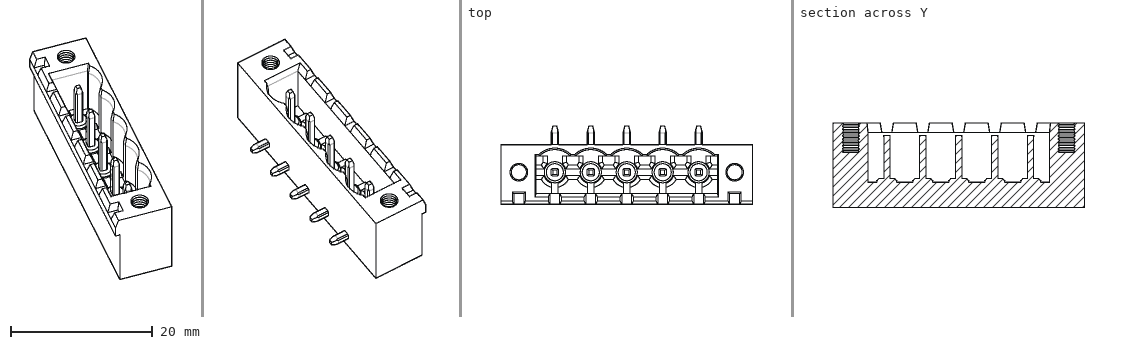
import cadquery as cq


length = 35.55
pole_count = 5
pitch = length / (pole_count + 2)
height = 12.0
half_depth = 3.9
lip_front = -4.55
lip_height = 3.0
bevel_height = 1.35
bevel_run = 0.45

mouth_half_length = 12.95
mouth_back = 2.52
mouth_front = -3.5
shaft_half_length = 12.8
shaft_back = 2.3
shaft_front = -3.0
flare_depth = bevel_height
floor_z = 3.02

scallop_center_y = 0.15
scallop_mouth_radius = 3.27
scallop_radius = 3.05
scallop_start_y = 2.15

platform_height = 0.57
platform_draft = 45.0
platform_half_width = 1.03
platform_disc_radius = 2.17
stem_half_width = 1.65
collar_radius = 1.5
collar_height = 0.55
collar_chamfer = 0.3
web_width = 0.95

notch_floor_width = 1.4
notch_top_width = 1.85
end_notch_back = -3.02
end_notch_top_back = -2.8

thread_radius = 1.25
thread_core_radius = 1.05
thread_pitch = 0.45
thread_turns = 9

pin_width = 1.05
pin_corner_chamfer = 0.18
pin_tip_length = 1.0
pin_tip_width = 0.57
pin_top = height - 1.2
tail_end = 6.55
tail_z = 2.03

platform_z = floor_z + platform_height
flare_z = height - flare_depth
pole_xs = [pitch * (i - (pole_count - 1) / 2) for i in range(pole_count)]
flange_x = pitch * (pole_count + 1) / 2
flange_xs = [-flange_x, flange_x]


def box(x0, x1, y0, y1, z0, z1):
    return cq.Workplane("XY").box(x1 - x0, y1 - y0, z1 - z0, centered=False).translate((x0, y0, z0))


def rectangle_loft(lower, lower_z, upper, upper_z):
    """Solid between two level rectangles, each given as (x0, x1, y0, y1)."""
    def wire(rectangle, z):
        x0, x1, y0, y1 = rectangle
        corners = [(x0, y0), (x1, y0), (x1, y1), (x0, y1)]
        return cq.Wire.makePolygon([cq.Vector(x, y, z) for x, y in corners], close=True)

    return cq.Workplane(cq.Solid.makeLoft([wire(lower, lower_z), wire(upper, upper_z)], True))


def make_housing():
    profile = [
        (-half_depth, 0),
        (half_depth, 0),
        (half_depth, height),
        (lip_front + bevel_run, height),
        (lip_front, height - bevel_height),
        (lip_front, height - lip_height),
        (-half_depth, height - lip_height),
    ]
    return cq.Workplane("YZ").polyline(profile).close().extrude(length / 2, both=True)


def make_scallop(x):
    straight = cq.Workplane("XY").circle(scallop_radius).extrude(flare_z - platform_z)
    flare = cq.Solid.makeCone(
        scallop_radius, scallop_mouth_radius, flare_depth, pnt=cq.Vector(0, 0, flare_z - platform_z)
    )
    scallop = straight.union(cq.Workplane(flare)).translate((x, scallop_center_y, platform_z))
    back_part = box(x - pitch, x + pitch, scallop_start_y, half_depth, 0, height)
    return scallop.intersect(back_part)


def make_platform():
    base = cq.Workplane("XY", origin=(0, 0, floor_z))
    stem_length = 2 * half_depth
    platform = base.rect(length, 2 * platform_half_width).extrude(platform_height, taper=platform_draft)
    for x in pole_xs:
        disc = base.center(x, 0).circle(platform_disc_radius)
        platform = platform.union(disc.extrude(platform_height, taper=platform_draft))
        stem = base.center(x, stem_length / 2).rect(2 * stem_half_width, stem_length)
        platform = platform.union(stem.extrude(platform_height, taper=platform_draft))
        web = box(x - web_width / 2, x + web_width / 2, -half_depth, 0, floor_z, platform_z)
        platform = platform.union(web)
        collar_base = base.workplane(offset=platform_height).center(x, 0)
        collar = collar_base.circle(collar_radius).extrude(collar_height)
        platform = platform.union(collar.faces(">Z").chamfer(collar_chamfer))
    return platform


def make_cavity():
    shaft = (-shaft_half_length, shaft_half_length, shaft_front, shaft_back)
    mouth = (-mouth_half_length, mouth_half_length, mouth_front, mouth_back)
    cavity = box(*shaft, floor_z, flare_z).union(rectangle_loft(shaft, flare_z, mouth, height))
    for x in pole_xs:
        cavity = cavity.union(make_scallop(x))
    return cavity.cut(make_platform())


def make_notch(x, back, top_back):
    half_floor = notch_floor_width / 2
    half_top = notch_top_width / 2
    floor = (x - half_floor, x + half_floor, lip_front, back)
    top = (x - half_top, x + half_top, lip_front, top_back)
    return rectangle_loft(floor, height - bevel_height, top, height)


def make_threaded_hole(x):
    profile = [(0, height), (thread_radius, height)]
    for turn in range(thread_turns):
        root_z = height - turn * thread_pitch
        profile.append((thread_core_radius, root_z - thread_pitch / 2))
        profile.append((thread_radius, root_z - thread_pitch))
    profile.append((0, height - thread_turns * thread_pitch))
    hole = cq.Workplane("XZ").polyline(profile).close().revolve(360, (0, 0, 0), (0, 1, 0))
    return hole.translate((x, 0, 0))


def make_pin_leg(leg_length):
    """Square leg along +Z with chamfered corners and a four-sided pointed tip."""
    shoulder = leg_length - pin_tip_length
    half = pin_width / 2
    half_tip = pin_tip_width / 2
    square = (-half, half, -half, half)
    tip = (-half_tip, half_tip, -half_tip, half_tip)
    pointed = box(*square, 0, shoulder).union(rectangle_loft(square, shoulder, tip, leg_length))
    bar = cq.Workplane("XY").rect(pin_width, pin_width).extrude(leg_length)
    return pointed.intersect(bar.edges("|Z").chamfer(pin_corner_chamfer))


def make_pin(x):
    contact = make_pin_leg(pin_top - tail_z)
    tail = make_pin_leg(tail_end).rotate((0, 0, 0), (1, 0, 0), -90)
    return contact.union(tail).translate((x, 0, tail_z))


result = make_housing().cut(make_cavity())
for x in pole_xs:
    result = result.cut(make_notch(x, shaft_front, shaft_front))
for x in flange_xs:
    result = result.cut(make_notch(x, end_notch_back, end_notch_top_back))
    result = result.cut(make_threaded_hole(x))
for x in pole_xs:
    result = result.union(make_pin(x))